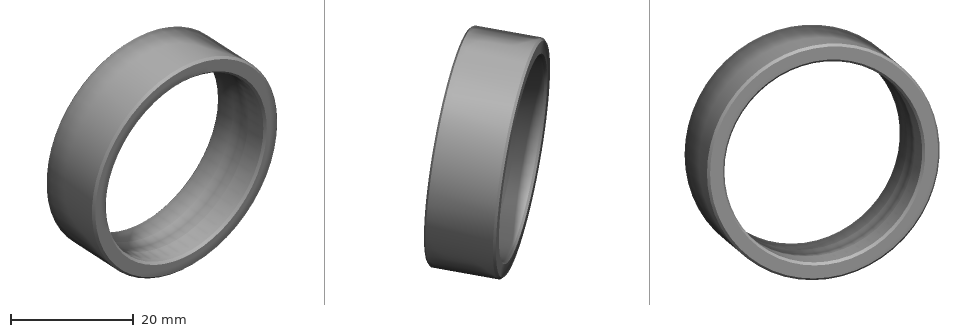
import cadquery as cq

width = 12.0
outer_diameter = 40.0
bore_diameter = 34.0
chamfer = 0.4

raceway_width = 3.75
raceway_depth = 0.2

outer_radius = outer_diameter / 2
bore_radius = bore_diameter / 2


def chamfered_ring():
    """Plain ring with every circular edge chamfered."""
    ring = (
        cq.Workplane("YZ", origin=(-width / 2, 0, 0))
        .circle(outer_radius)
        .circle(bore_radius)
        .extrude(width)
    )
    return ring.faces("<X or >X").edges().chamfer(chamfer)


def raceway_cutter():
    """Arc segment swept around the X axis, meeting the bore at both edges of the raceway."""
    half_width = raceway_width / 2
    return (
        cq.Workplane("XY")
        .moveTo(-half_width, bore_radius)
        .threePointArc((0, bore_radius + raceway_depth), (half_width, bore_radius))
        .close()
        .revolve(360, (0, 0, 0), (1, 0, 0))
    )


result = chamfered_ring().cut(raceway_cutter())